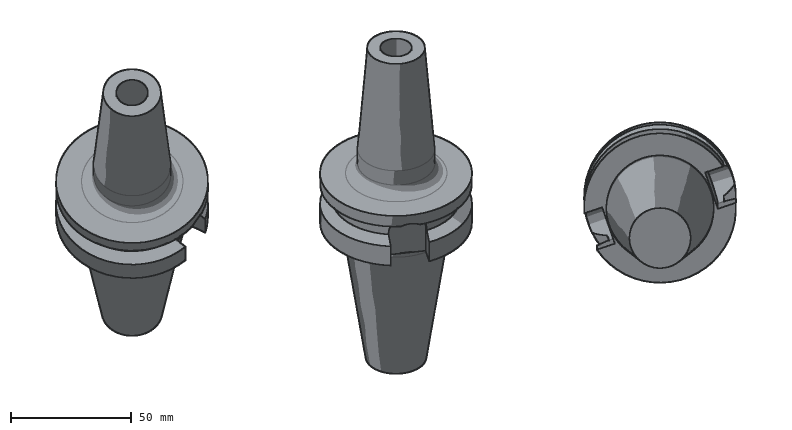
import cadquery as cq

total_height = 155.4
taper_height = 65.5
flange_bottom = 67.5
flange_height = 25.0
flange_top = flange_bottom + flange_height

taper_small_radius = 25.3 / 2
taper_large_radius = 44.5 / 2

flange_radius = 63.0 / 2
groove_radius = 53.0 / 2
upper_rim_height = 5.5
groove_floor_height = 5.0
groove_side_height = 2.5

neck_radius = 32.0 / 2
neck_fillet = 5.0
neck_height = 12.1
tip_radius = 24.0 / 2
bore_diameter = 13.0
bore_depth = 46.6

slot_width = 16.2
slot_top = flange_top - 4.4
slot_floor_offset = 22.5


def make_body():
    """Revolve the taper, flange and nose as one solid about Z."""
    upper_groove_edge = flange_top - upper_rim_height
    groove_floor_top = upper_groove_edge - groove_side_height
    groove_floor_bottom = groove_floor_top - groove_floor_height
    lower_groove_edge = groove_floor_bottom - groove_side_height
    fillet_middle = (
        neck_radius + neck_fillet * (1 - 0.5**0.5),
        flange_top + neck_fillet * (1 - 0.5**0.5),
    )
    return (
        cq.Workplane("XZ")
        .lineTo(taper_small_radius, 0)
        .lineTo(taper_large_radius, taper_height)
        .lineTo(taper_large_radius, flange_bottom)
        .lineTo(flange_radius, flange_bottom)
        .lineTo(flange_radius, lower_groove_edge)
        .lineTo(groove_radius, groove_floor_bottom)
        .lineTo(groove_radius, groove_floor_top)
        .lineTo(flange_radius, upper_groove_edge)
        .lineTo(flange_radius, flange_top)
        .lineTo(neck_radius + neck_fillet, flange_top)
        .threePointArc(fillet_middle, (neck_radius, flange_top + neck_fillet))
        .lineTo(neck_radius, flange_top + neck_height)
        .lineTo(tip_radius, total_height)
        .lineTo(0, total_height)
        .close()
        .revolve(360, (0, 0, 0), (0, 1, 0))
    )


def make_bore():
    """Blind tool bore entering from the tip."""
    return (
        cq.Workplane("XY")
        .workplane(offset=total_height - bore_depth)
        .circle(bore_diameter / 2)
        .extrude(bore_depth)
    )


def make_slot(side):
    """Round-topped drive slot with a flat floor; side is +1 or -1 along X."""
    half_width = slot_width / 2
    arc_center_height = slot_top - half_width
    slot_depth = flange_radius - slot_floor_offset
    return (
        cq.Workplane("YZ")
        .workplane(offset=side * slot_floor_offset)
        .moveTo(-half_width, flange_bottom)
        .lineTo(-half_width, arc_center_height)
        .threePointArc((0, slot_top), (half_width, arc_center_height))
        .lineTo(half_width, flange_bottom)
        .close()
        .extrude(side * slot_depth)
    )


result = make_body().cut(make_bore())
for slot_side in (-1, 1):
    result = result.cut(make_slot(slot_side))